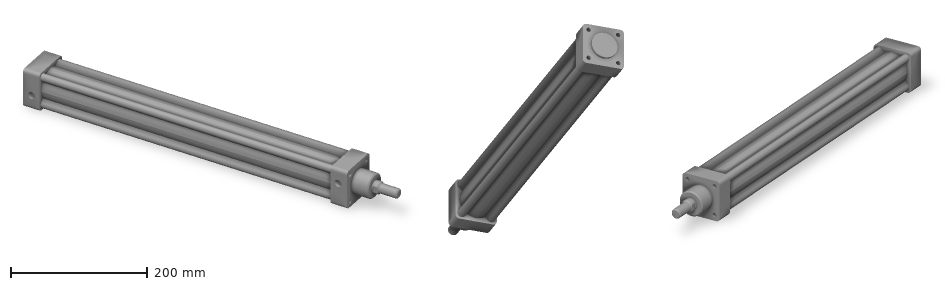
import cadquery as cq
import math

total_length = 629.0
cover_size = 65.0
cover_length = 28.0
cover_corner = 5.5
spigot_diameter = 40.0
rear_spigot_length = 4.5
front_spigot_length = 28.0
front_spigot_chamfer = 2.0
barrel_length = 498.0

barrel_radius = 26.5
ridge_half_width = 5.0
lobe_radius = 6.0

screw_spacing = 46.5
screw_hole_diameter = 7.0
screw_hole_depth = 16.0
port_diameter = 12.0
port_depth = 12.5
port_height = 8.0
port_from_barrel = 13.0

rod_diameter = 20.0
rod_flat_width = 17.0
rod_collar_length = 2.0
thread_diameter = 16.0
thread_length = 30.0
thread_chamfer = 2.0

rear_cover_start = rear_spigot_length
barrel_start = rear_cover_start + cover_length
front_cover_start = barrel_start + barrel_length
front_cover_end = front_cover_start + cover_length
rod_start = front_cover_end + front_spigot_length
thread_start = total_length - thread_length


def section_at(x):
    """Workplane square to the axis at x: local x is Y, local y is Z, normal is +X."""
    return cq.Workplane("YZ", origin=(x, 0, 0))


def cover_block(start):
    """Square block with rounded long edges."""
    block = section_at(start).rect(cover_size, cover_size).extrude(cover_length)
    return block.edges("|X").fillet(cover_corner)


def screw_holes(face_x, direction):
    """Four blind holes that run from an end face along the axis; direction is +1 or -1."""
    return (
        section_at(face_x)
        .rect(screw_spacing, screw_spacing, forConstruction=True)
        .vertices()
        .circle(screw_hole_diameter / 2)
        .extrude(direction * screw_hole_depth)
    )


def air_port(x, z):
    """Blind port that runs inward from the -Y side."""
    port_plane = cq.Workplane("XZ", origin=(x, -cover_size / 2, z))
    return port_plane.circle(port_diameter / 2).extrude(-port_depth)


def make_rear_cover():
    """Cover with a thin round spigot on its outer face."""
    spigot = section_at(0).circle(spigot_diameter / 2).extrude(rear_spigot_length)
    cover = cover_block(rear_cover_start).union(spigot)
    cover = cover.cut(screw_holes(rear_cover_start, 1))
    return cover.cut(air_port(barrel_start - port_from_barrel, -port_height))


def make_front_cover():
    """Cover with a long round spigot that carries the piston rod."""
    spigot = section_at(front_cover_end).circle(spigot_diameter / 2).extrude(front_spigot_length)
    spigot = spigot.faces(">X").chamfer(front_spigot_chamfer)
    cover = cover_block(front_cover_start).union(spigot)
    cover = cover.cut(screw_holes(front_cover_end, -1))
    return cover.cut(air_port(front_cover_start + port_from_barrel, port_height))


def barrel_ridge(angle):
    """Shallow ridge whose two faces leave the round barrel along its tangents."""
    tangent_height = math.sqrt(barrel_radius**2 - ridge_half_width**2)
    apex_height = barrel_radius**2 / tangent_height
    ridge = (
        section_at(barrel_start)
        .polyline(
            [
                (0, 0),
                (ridge_half_width, tangent_height),
                (0, apex_height),
                (-ridge_half_width, tangent_height),
            ]
        )
        .close()
        .extrude(barrel_length)
    )
    return ridge.rotate((0, 0, 0), (1, 0, 0), angle)


def barrel_lobe(angle):
    """Straight-sided arm with a round end, centred on the line of the cover screws."""
    lobe_distance = screw_spacing / 2 * math.sqrt(2)
    lobe = (
        section_at(barrel_start)
        .moveTo(-lobe_radius, 0)
        .lineTo(-lobe_radius, lobe_distance)
        .threePointArc((0, lobe_distance + lobe_radius), (lobe_radius, lobe_distance))
        .lineTo(lobe_radius, 0)
        .close()
        .extrude(barrel_length)
    )
    return lobe.rotate((0, 0, 0), (1, 0, 0), angle)


def make_barrel():
    """Round barrel with a ridge on each side and a lobe at each corner."""
    barrel = section_at(barrel_start).circle(barrel_radius).extrude(barrel_length)
    for ridge_angle in (0, 90, 180, 270):
        lobe_angle = ridge_angle + 45
        barrel = barrel.union(barrel_ridge(ridge_angle)).union(barrel_lobe(lobe_angle))
    return barrel


def make_piston_rod():
    """Rod with two wrench flats beyond a short round collar, narrowing to a threaded end."""
    shank_chamfer = (rod_diameter - thread_diameter) / 2
    shank_length = thread_start - rod_start
    collar = section_at(rod_start).circle(rod_diameter / 2).extrude(rod_collar_length)
    shank = section_at(rod_start).circle(rod_diameter / 2).extrude(shank_length)
    shank = shank.faces(">X").chamfer(shank_chamfer)
    flats = section_at(rod_start).rect(rod_flat_width, rod_diameter).extrude(shank_length)
    thread = section_at(thread_start).circle(thread_diameter / 2).extrude(thread_length)
    thread = thread.faces(">X").chamfer(thread_chamfer)
    return shank.intersect(flats).union(collar).union(thread)


rear_cover = make_rear_cover()
barrel = make_barrel()
front_cover = make_front_cover()
piston_rod = make_piston_rod()

result = cq.Compound.makeCompound(
    [rear_cover.val(), barrel.val(), front_cover.val(), piston_rod.val()]
)